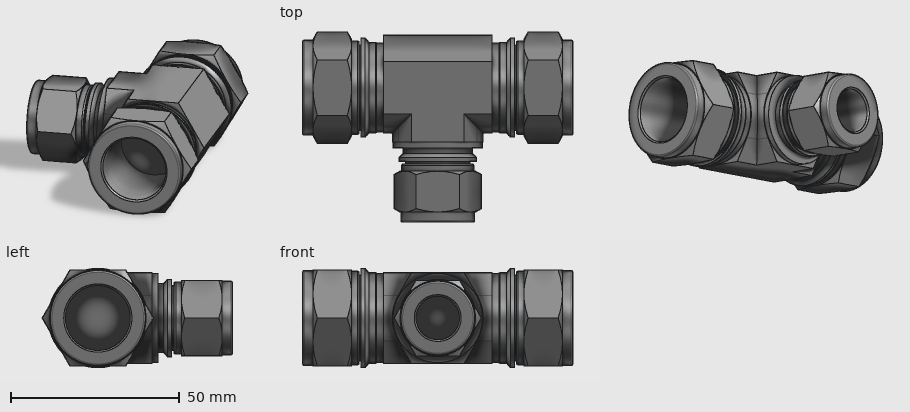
import cadquery as cq
import math

RUN_REACH = 40.07
BRANCH_REACH = 39.89
BODY_REACH = 16.1
BODY_ACROSS_FLATS = 27.0
SHOULDER_DIA = 26.5
NUT_CHAMFER_ANGLE = 30.0
COLLAR_CHAMFER_LENGTH = 0.5
COLLAR_CHAMFER_DEPTH = 0.25
FLANGE_RIM = 0.15
DISH_ANGLE = 45.0
END_ROUND = 0.5
BORE_FLARE = 0.5

RUN = dict(
    reach=RUN_REACH,
    across_flats=28.6,
    nut_from=25.55,
    nut_to=37.0,
    end_dia=28.2,
    collar_dia=27.8,
    collar_from=23.3,
    neck_dia=25.4,
    flange_dia=29.5,
    flange_at=22.8,
    flange_bevel_at=21.6,
    bevel_foot_at=20.4,
    bevel_foot_dia=26.9,
    step_chamfer_at=18.5,
    shoulder_to=18.1,
    bore_dia=19.25,
)
BRANCH = dict(
    reach=BRANCH_REACH,
    across_flats=22.4,
    nut_from=24.8,
    nut_to=36.9,
    end_dia=21.9,
    collar_dia=21.5,
    collar_from=22.65,
    neck_dia=19.25,
    flange_dia=23.0,
    flange_at=21.9,
    flange_bevel_at=20.7,
    bevel_foot_at=19.55,
    bevel_foot_dia=20.6,
    step_chamfer_at=17.85,
    shoulder_to=17.85,
    bore_dia=12.9,
)


def revolve_profile(points):
    """Turn (radius, height) points about the Z axis."""
    profile = cq.Workplane("XZ").polyline(points).close()
    return profile.revolve(360, (0, 0, 0), (0, 1, 0))


def hexagon_prism(across_flats, start, end):
    """Hexagon prism along Z with corners on the X axis."""
    corner_dia = across_flats / math.cos(math.pi / 6)
    return cq.Workplane("XY").workplane(offset=start).polygon(6, corner_dia).extrude(end - start)


def turned_profile(arm):
    """Round parts of one arm, from the tee centre to the end face."""
    collar_inner_dia = arm["collar_dia"] - 2 * COLLAR_CHAMFER_DEPTH
    dish_dia = arm["flange_dia"] - 2 * FLANGE_RIM
    dish_depth = (dish_dia - arm["neck_dia"]) / 2 * math.tan(math.radians(DISH_ANGLE))
    steps = [
        (0, 0),
        (SHOULDER_DIA, 0),
        (SHOULDER_DIA, arm["shoulder_to"]),
        (arm["bevel_foot_dia"], arm["step_chamfer_at"]),
        (arm["bevel_foot_dia"], arm["bevel_foot_at"]),
        (arm["flange_dia"], arm["flange_bevel_at"]),
        (arm["flange_dia"], arm["flange_at"]),
        (dish_dia, arm["flange_at"]),
        (arm["neck_dia"], arm["flange_at"] - dish_depth),
        (arm["neck_dia"], arm["collar_from"]),
        (collar_inner_dia, arm["collar_from"]),
        (arm["collar_dia"], arm["collar_from"] + COLLAR_CHAMFER_LENGTH),
        (arm["collar_dia"], arm["nut_from"]),
        (arm["end_dia"], arm["nut_from"]),
        (arm["end_dia"], arm["reach"]),
        (0, arm["reach"]),
    ]
    return [(dia / 2, height) for dia, height in steps]


def chamfered_nut(arm):
    """Hexagon with its corners turned down to the across-flats circle at both ends."""
    start, end = arm["nut_from"], arm["nut_to"]
    flat_radius = arm["across_flats"] / 2
    corner_radius = flat_radius / math.cos(math.pi / 6)
    drop = (corner_radius - flat_radius) * math.tan(math.radians(NUT_CHAMFER_ANGLE))
    envelope = revolve_profile([
        (0, start),
        (flat_radius, start),
        (corner_radius, start + drop),
        (corner_radius, end - drop),
        (flat_radius, end),
        (0, end),
    ])
    return hexagon_prism(arm["across_flats"], start, end).intersect(envelope)


def tube_arm(arm):
    turned = revolve_profile(turned_profile(arm)).faces(">Z").edges().fillet(END_ROUND)
    return turned.union(chamfered_nut(arm))


def tube_bore(arm):
    """Blind tube socket, flared at its mouth and ending level with the forged body."""
    bore_radius = arm["bore_dia"] / 2
    return revolve_profile([
        (0, BODY_REACH),
        (bore_radius, BODY_REACH),
        (bore_radius, arm["reach"] - BORE_FLARE),
        (bore_radius + BORE_FLARE, arm["reach"]),
        (0, arm["reach"]),
    ])


def to_branch(shape):
    return shape.rotate((0, 0, 0), (1, 0, 0), 90)


def to_run(shape, side):
    """Lay an arm along X with its corners at +Y and -Y; side is +1 or -1."""
    return shape.rotate((0, 0, 0), (0, 0, 1), 90).rotate((0, 0, 0), (0, 1, 0), side * 90)


def forged_body():
    """Hexagon tee whose corners around the branch are rounded to the across-flats circle."""
    flat_radius = BODY_ACROSS_FLATS / 2
    corner_radius = flat_radius / math.cos(math.pi / 6)

    run = (
        cq.Workplane("YZ")
        .workplane(offset=-BODY_REACH)
        .moveTo(corner_radius, 0)
        .lineTo(corner_radius / 2, flat_radius)
        .lineTo(-corner_radius / 2, flat_radius)
        .lineTo(-corner_radius * 3 / 4, flat_radius / 2)
        .threePointArc((-flat_radius, 0), (-corner_radius * 3 / 4, -flat_radius / 2))
        .lineTo(-corner_radius / 2, -flat_radius)
        .lineTo(corner_radius / 2, -flat_radius)
        .close()
        .extrude(2 * BODY_REACH)
    )

    rounding = cq.Workplane("XY").circle(flat_radius).extrude(BODY_REACH)
    core = cq.Workplane("XY").rect(corner_radius * 3 / 2, 2 * flat_radius).extrude(BODY_REACH)
    branch = hexagon_prism(BODY_ACROSS_FLATS, 0, BODY_REACH).intersect(core.union(rounding))
    return run.union(to_branch(branch))


result = forged_body()
result = result.union(to_branch(tube_arm(BRANCH)))
for side in (-1, 1):
    result = result.union(to_run(tube_arm(RUN), side))
result = result.cut(to_branch(tube_bore(BRANCH)))
for side in (-1, 1):
    result = result.cut(to_run(tube_bore(RUN), side))